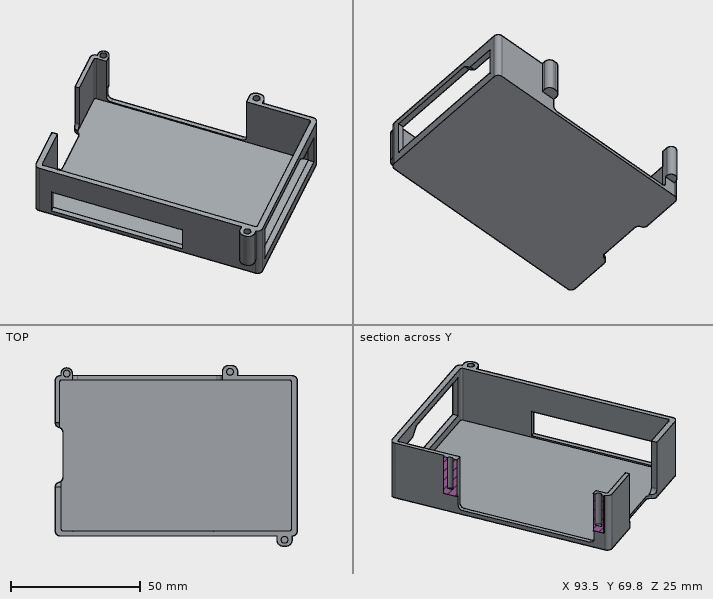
import cadquery as cq
import math

length = 93.5
width = 62.0
height = 25.0
corner_radius = 2.1
inner_corner_radius = 0.8
floor_thickness = 1.3
front_wall = 2.0
back_wall = 1.7
right_wall = 2.3
left_wall_front = 2.3
left_wall_back = 1.8

sill_height = 1.9
sill_radius = 2.0
left_opening_front = 18.9
left_opening_back = 43.85
back_opening_left = 6.7
back_opening_right = 64.5
notch_depth = 3.0

front_window_left = 7.0
front_window_right = 61.15
front_window_bottom = 2.0
front_window_top = 13.0

right_window_margin = 4.6
right_window_bottom = 4.7
right_window_top = 22.0
right_window_step = 3.3
right_window_step_start = 42.7

boss_height = 17.0
screw_diameter = 2.6
screw_depth = 14.0
lug_width = 6.0
lug_reach = 3.9
lug_radius = 2.5
lug_hole_offset = 1.4
front_lug_x = 88.5
back_lug_x = back_opening_right + lug_width / 2
round_boss_radius = 2.2
round_boss_x = back_opening_left - round_boss_radius
round_boss_y = width + 0.75


def block(x_min, x_max, y_min, y_max, z_min, z_max):
    """Axis-aligned box given by its limits."""
    size = (x_max - x_min, y_max - y_min, z_max - z_min)
    return cq.Workplane("XY").box(*size, centered=False).translate((x_min, y_min, z_min))


def make_shell():
    outer = block(0, length, 0, width, 0, height).edges("|Z").fillet(corner_radius)
    cavity_back = width - back_wall
    cavity_right = length - right_wall
    cavity = block(left_wall_front, cavity_right, front_wall, cavity_back, floor_thickness, height)
    thin_start = (left_opening_front + left_opening_back) / 2
    widened = block(left_wall_back, cavity_right, thin_start, cavity_back, floor_thickness, height)
    cavity = cavity.edges("|Z").fillet(inner_corner_radius)
    widened = widened.edges("|Z").fillet(inner_corner_radius)
    return outer.cut(cavity).cut(widened)


def left_opening():
    """Wall opening with a rounded sill, plus an S-sided notch through the floor."""
    opening = block(0, left_wall_front, left_opening_front, left_opening_back, sill_height, height)
    opening = opening.edges("|X and <Z").fillet(sill_radius)

    arc_angle = math.acos(1 - notch_depth / (2 * sill_radius))
    half_rise = sill_radius * math.sin(arc_angle)
    bulge_x = sill_radius * (1 - math.cos(arc_angle / 2))
    bulge_y = sill_radius * math.sin(arc_angle / 2)
    front, back = left_opening_front, left_opening_back
    middle = notch_depth / 2
    notch = (
        cq.Workplane("XY")
        .moveTo(0, front)
        .threePointArc((bulge_x, front + bulge_y), (middle, front + half_rise))
        .threePointArc(
            (notch_depth - bulge_x, front + 2 * half_rise - bulge_y),
            (notch_depth, front + 2 * half_rise),
        )
        .lineTo(notch_depth, back - 2 * half_rise)
        .threePointArc(
            (notch_depth - bulge_x, back - 2 * half_rise + bulge_y),
            (middle, back - half_rise),
        )
        .threePointArc((bulge_x, back - bulge_y), (0, back))
        .close()
        .extrude(height)
    )
    return opening.union(notch)


def back_opening():
    opening = block(
        back_opening_left, back_opening_right, width - back_wall, width, sill_height, height
    )
    return opening.edges("|Y and <Z").fillet(sill_radius)


def front_window():
    return block(
        front_window_left, front_window_right, 0, front_wall, front_window_bottom, front_window_top
    )


def right_window():
    """Window whose top edge drops by a 45 degree step near the back."""
    window_front = right_window_margin
    window_back = width - right_window_margin
    low_top = right_window_top - right_window_step
    return (
        cq.Workplane("YZ", origin=(length - right_wall, 0, 0))
        .moveTo(window_front, right_window_bottom)
        .lineTo(window_back, right_window_bottom)
        .lineTo(window_back, low_top)
        .lineTo(right_window_step_start + right_window_step, low_top)
        .lineTo(right_window_step_start, right_window_top)
        .lineTo(window_front, right_window_top)
        .close()
        .extrude(right_wall)
    )


def lug(x, wall_outside, wall_inside):
    """Boss with a rounded end, standing out from a front or back wall."""
    direction = math.copysign(1, wall_outside - wall_inside)
    tip = wall_outside + direction * lug_reach
    y_min, y_max = sorted((wall_inside, tip))
    body = block(x - lug_width / 2, x + lug_width / 2, y_min, y_max, height - boss_height, height)
    tip_side = ">Y" if direction > 0 else "<Y"
    return body.faces(tip_side).edges("|Z").fillet(lug_radius)


def round_boss():
    bottom = height - boss_height
    post = (
        cq.Workplane("XY", origin=(round_boss_x, round_boss_y, bottom))
        .circle(round_boss_radius)
        .extrude(boss_height)
    )
    web = block(
        round_boss_x - round_boss_radius, round_boss_x + round_boss_radius,
        width - back_wall, round_boss_y, bottom, height,
    )
    inside = block(0, length, 0, width - back_wall, 0, height)
    return post.union(web).cut(inside)


def screw_holes():
    centers = [
        (front_lug_x, -lug_hole_offset),
        (back_lug_x, width + lug_hole_offset),
        (round_boss_x, round_boss_y),
    ]
    return (
        cq.Workplane("XY", origin=(0, 0, height))
        .pushPoints(centers)
        .circle(screw_diameter / 2)
        .extrude(-screw_depth)
    )


result = (
    make_shell()
    .cut(left_opening())
    .cut(back_opening())
    .cut(front_window())
    .cut(right_window())
    .union(lug(front_lug_x, 0, front_wall))
    .union(lug(back_lug_x, width, width - back_wall))
    .union(round_boss())
    .cut(screw_holes())
)